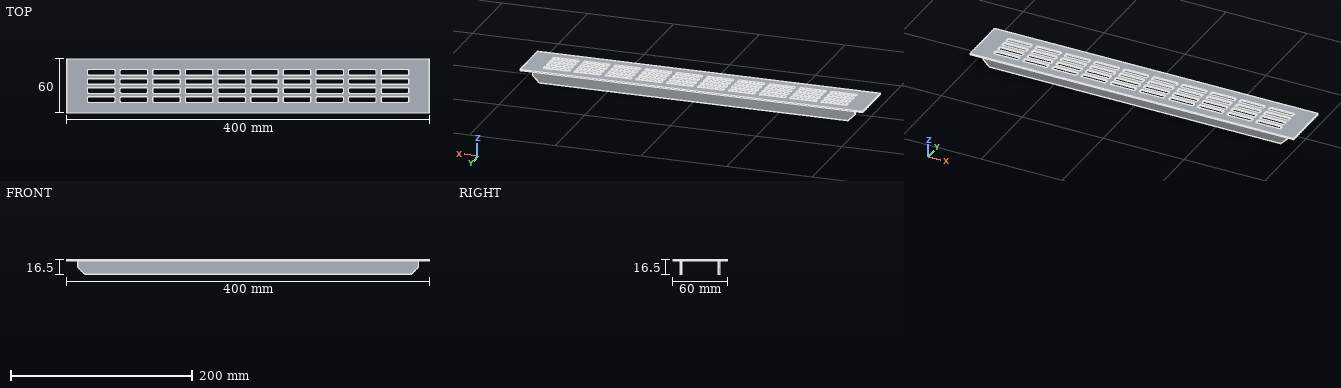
import cadquery as cq

plate_length = 400.0
plate_width = 60.0
plate_thickness = 1.5

slot_columns = 10
slot_rows = 4
slot_length = 30.0
slot_width = 6.0
slot_corner_radius = 1.0
column_pitch = 36.0
row_pitch = 10.0

overall_height = 16.5
flange_length = 376.0
flange_thickness = 2.0
flange_spacing = 42.0
flange_chamfer = 8.0
flange_height = overall_height - plate_thickness


def make_plate():
    """Flat face plate with its underside at Z = 0."""
    return cq.Workplane("XY").box(
        plate_length, plate_width, plate_thickness, centered=(True, True, False)
    )


def make_slots():
    """Grid of rounded slot cutters through the plate."""
    return (
        cq.Workplane("XY")
        .rarray(column_pitch, row_pitch, slot_columns, slot_rows)
        .rect(slot_length, slot_width)
        .extrude(plate_thickness)
        .edges("|Z")
        .fillet(slot_corner_radius)
    )


def make_flange(mid_y):
    """Upright flange hanging below the plate, with both lower corners cut off."""
    return (
        cq.Workplane("XY")
        .box(flange_length, flange_thickness, flange_height, centered=(True, True, False))
        .edges("|Y and <Z")
        .chamfer(flange_chamfer)
        .translate((0, mid_y, -flange_height))
    )


result = make_plate().cut(make_slots())
for side in (-1, 1):
    result = result.union(make_flange(side * flange_spacing / 2))